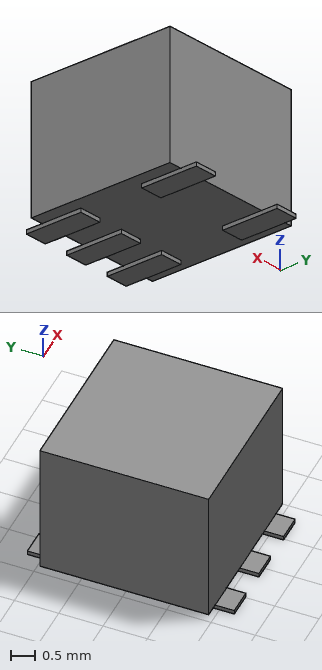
import cadquery as cq

overall_height = 3.27
lead_span = 4.67
housing_side = 3.81

lead_width = 0.6
lead_length = 1.5
lead_thickness = 0.1
lead_pitch = 1.27

front_slots = (-1, 0, 1)
back_slots = (-1, 1)

housing_height = overall_height - lead_thickness
lead_center_y = (lead_span - lead_length) / 2


def make_housing():
    """Plain block resting on top of the leads."""
    return (
        cq.Workplane("XY")
        .workplane(offset=lead_thickness)
        .rect(housing_side, housing_side)
        .extrude(housing_height)
    )


def make_lead(x, y):
    """Flat strip on the base plane, centred at (x, y)."""
    return cq.Workplane("XY").center(x, y).rect(lead_width, lead_length).extrude(lead_thickness)


housing = make_housing()

leads = []
for row_y, slots in ((-lead_center_y, front_slots), (lead_center_y, back_slots)):
    for slot in slots:
        leads.append(make_lead(slot * lead_pitch, row_y).val())

result = cq.Compound.makeCompound([housing.val(), *leads])